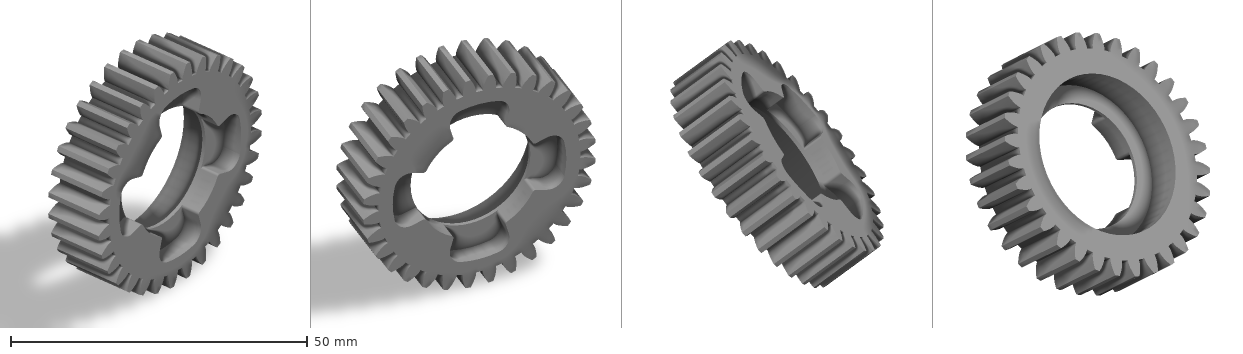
import cadquery as cq
import math

face_width = 11.1
height = 43.05

tooth_count = 32
pressure_angle = math.radians(20)
addendum_factor = 1.0
dedendum_factor = 1.25
flank_points = 7

counterbore_radius = 14.3
counterbore_depth = 6.7
bore_radius = 11.1
lip_thickness = 0.7

notch_count = 4
notch_outer_radius = 16.1
notch_axis_half_width = 1.95
notch_wall_angle = math.radians(14.5)
notch_corner_radius = 2.6
lug_edge_radius = 0.5
edge_tolerance = 0.005

half_pitch_angle = math.pi / tooth_count


def involute(angle):
    return math.tan(angle) - angle


def half_tooth_angle(flank_angle):
    """Half the angle a tooth spans where its flanks have the given involute pressure angle."""
    return half_pitch_angle / 2 + involute(pressure_angle) - involute(flank_angle)


tip_over_pitch = 1 + 2 * addendum_factor / tooth_count
tip_flank_angle = math.acos(math.cos(pressure_angle) / tip_over_pitch)
half_tip_angle = half_tooth_angle(tip_flank_angle)
tip_radius = height / 2 / math.cos(half_pitch_angle - half_tip_angle)
pitch_radius = tip_radius / tip_over_pitch
module = 2 * pitch_radius / tooth_count
base_radius = pitch_radius * math.cos(pressure_angle)
root_radius = pitch_radius - dedendum_factor * module

front_x = -face_width / 2
lip_x = front_x + counterbore_depth
notch_x = lip_x + lip_thickness
notch_depth = face_width / 2 - notch_x


def polar(radius, angle):
    return (radius * math.cos(angle), radius * math.sin(angle))


def disc(radius, start_x, length):
    return cq.Workplane("YZ", origin=(start_x, 0, 0)).circle(radius).extrude(length)


def gear_blank():
    """Toothed disc with a gap centred on the Y and Z axes."""
    tip_roll = math.tan(tip_flank_angle)
    flank_angles = [math.atan(tip_roll * step / (flank_points - 1)) for step in range(flank_points)]
    flank_radii = [base_radius / math.cos(angle) for angle in flank_angles]
    half_angles = [half_tooth_angle(angle) for angle in flank_angles]
    half_base_angle = half_angles[0]
    first_root = polar(root_radius, half_pitch_angle - half_base_angle)
    outline = cq.Workplane("YZ", origin=(front_x, 0, 0)).moveTo(*first_root)
    for tooth in range(tooth_count):
        centre = (2 * tooth + 1) * half_pitch_angle
        rising = [polar(radius, centre - half) for radius, half in zip(flank_radii, half_angles)]
        falling = [polar(radius, centre + half) for radius, half in zip(flank_radii, half_angles)]
        falling.reverse()
        next_gap = centre + half_pitch_angle
        next_root = polar(root_radius, next_gap + half_pitch_angle - half_base_angle)
        outline = (
            outline.lineTo(*rising[0])
            .spline(rising[1:], includeCurrent=True)
            .threePointArc(polar(tip_radius, centre), falling[0])
            .spline(falling[1:], includeCurrent=True)
            .lineTo(*polar(root_radius, centre + half_base_angle))
            .threePointArc(polar(root_radius, next_gap), next_root)
        )
    return outline.close().extrude(face_width)


def notch():
    """Tapered notch along +Y with rounded outer corners."""
    outer_half_width = notch_axis_half_width + notch_outer_radius * math.tan(notch_wall_angle)
    outer_y = math.sqrt(notch_outer_radius**2 - outer_half_width**2)
    return (
        cq.Workplane("YZ", origin=(notch_x, 0, 0))
        .moveTo(0, -notch_axis_half_width)
        .lineTo(outer_y, -outer_half_width)
        .threePointArc((notch_outer_radius, 0), (outer_y, outer_half_width))
        .lineTo(0, notch_axis_half_width)
        .close()
        .extrude(notch_depth)
        .edges("|X")
        .edges(">Y")
        .fillet(notch_corner_radius)
    )


def lies_on_bore(edge):
    centre = edge.Center()
    return abs(math.hypot(centre.y, centre.z) - bore_radius) < edge_tolerance


def lugged_cavity():
    """Space behind the lip: the bore plus the notches, easing the edges of the lugs between them."""
    cavity = disc(bore_radius, notch_x, notch_depth)
    for index in range(notch_count):
        cavity = cavity.union(notch().rotate((0, 0, 0), (1, 0, 0), index * 360 / notch_count))
    return cavity.edges("|X").filter(lies_on_bore).fillet(lug_edge_radius)


result = (
    gear_blank()
    .cut(disc(counterbore_radius, front_x, counterbore_depth))
    .cut(disc(bore_radius, lip_x, lip_thickness))
    .cut(lugged_cavity())
)